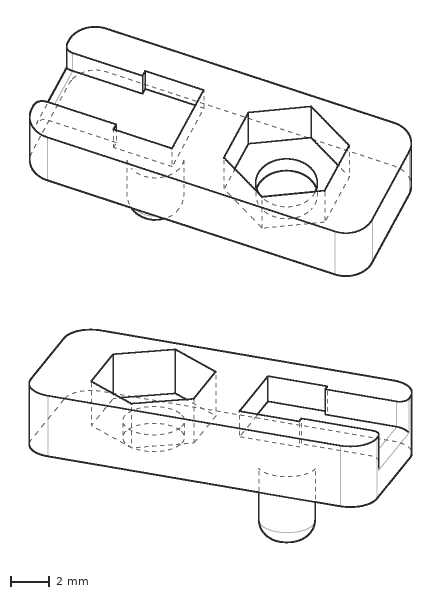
import cadquery as cq
import math

length = 19.43
width = 8.0
thickness = 3.6
corner_radius = 1.5

pocket_depth = 1.5
pocket_end = 7.85
pocket_step = 4.5
entry_width = 3.58
inner_width = 4.3
entry_round = 0.5

nut_x = 13.48
nut_across_flats = 5.75
nut_depth = 2.6
hole_diameter = 3.25

pin_x = 5.98
pin_diameter = 3.0
pin_length = 4.5
pin_root_round = 0.5
pin_tip_round = 1.0


def make_block():
    block = cq.Workplane("XY").box(length, width, thickness, centered=(False, True, False))
    return block.edges("|Z").fillet(corner_radius)


def cut_pocket(body):
    floor = cq.Workplane("XY").workplane(offset=thickness - pocket_depth)
    entry = floor.rect(2 * pocket_step, entry_width).extrude(pocket_depth)
    inner_length = pocket_end - pocket_step
    inner = (
        floor.center(pocket_step + inner_length / 2, 0)
        .rect(inner_length, inner_width)
        .extrude(pocket_depth)
    )
    body = body.cut(entry).cut(inner)
    overlap = 0.02
    lip_box = cq.selectors.BoxSelector(
        (-overlap, -entry_width / 2 - overlap, thickness - pocket_depth - overlap),
        (overlap, entry_width / 2 + overlap, thickness - overlap),
    )
    return body.edges(lip_box).fillet(entry_round)


def cut_nut_recess(body):
    across_corners = nut_across_flats / math.cos(math.pi / 6)
    recess = (
        cq.Workplane("XY", origin=(nut_x, 0, thickness - nut_depth))
        .polygon(6, across_corners)
        .extrude(nut_depth)
        .rotate((nut_x, 0, 0), (nut_x, 0, 1), 90)
    )
    hole = cq.Workplane("XY").center(nut_x, 0).circle(hole_diameter / 2).extrude(thickness)
    return body.cut(recess).cut(hole)


def add_pin(body):
    pin = cq.Workplane("XY").center(pin_x, 0).circle(pin_diameter / 2).extrude(-pin_length)
    pin = pin.faces("<Z").edges().fillet(pin_tip_round)
    body = body.union(pin)
    root_edge = cq.selectors.RadiusNthSelector(0)
    underside = cq.selectors.BoxSelector(
        (pin_x - pin_diameter, -pin_diameter, -pin_root_round),
        (pin_x + pin_diameter, pin_diameter, pin_root_round),
    )
    return body.edges("%CIRCLE").edges(underside).edges(root_edge).fillet(pin_root_round)


result = add_pin(cut_nut_recess(cut_pocket(make_block())))